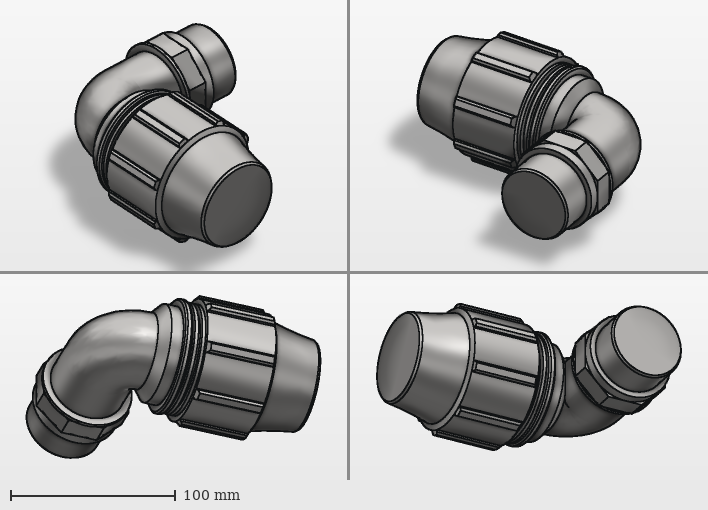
import cadquery as cq
import math


pipe_radius = 47.8 / 2
bend_radius = 19.1

male_end = 89.0
male_end_chamfer_length = 1.5
male_end_chamfer_depth = 1.0
collar_radius = 57.36 / 2
collar_start = 45.0
collar_thickness = 2.2
octagon_sides = 8
octagon_flats = 54.97
octagon_start = collar_start + collar_thickness
octagon_length = 13.0
band_length = 6.7

body_radius = 61.5 / 2
cone_start = 20.4
cone_end = 26.7
flange_radius = 71.34 / 2
flange_start = 34.3
flange_thickness = 4.5
flange_chamfer = 1.1
ring_radius = 69.2 / 2
ring_width = 2.3
first_ring_start = 40.4
second_ring_start = 45.1

nut_radius = 38.1
nut_start = 47.3
nut_shoulder = 91.4
tail_start = 93.2
tail_start_radius = ring_radius
tail_end = 124.0
tail_end_radius = 28.7
tail_sag = 0.6
tail_chamfer_length = 1.6
tail_chamfer_depth = 1.2

rib_count = 8
rib_pitch = 360 / rib_count
rib_base_width = 6.9
rib_top_width = 4.4
nut_overall_height = 77.16
half_pitch = math.radians(rib_pitch / 2)
rib_top_radius = (nut_overall_height / 2 - rib_top_width / 2 * math.sin(half_pitch)) / math.cos(half_pitch)
rib_root_radius = nut_radius - 1.0
rib_wall_radius = nut_radius + 1.1
rib_start_slope_length = 2.3
rib_end_slope_length = 1.0


def cylinder_x(start, end, radius):
    return cq.Workplane("YZ").workplane(offset=start).circle(radius).extrude(end - start)


def cylinder_y(start, end, radius):
    return cq.Workplane("XZ").workplane(offset=-start).circle(radius).extrude(start - end)


def make_bend():
    """Quarter bend whose profile is cut off at the bend axis, leaving a sharp inner corner."""
    chord_half = math.sqrt(pipe_radius**2 - bend_radius**2)
    return (
        cq.Workplane("XZ", origin=(0, bend_radius, 0))
        .moveTo(bend_radius, -chord_half)
        .threePointArc((-pipe_radius, 0), (bend_radius, chord_half))
        .close()
        .revolve(90, (bend_radius, 0, 0), (bend_radius, 1, 0))
    )


def make_male_arm():
    octagon_corner_diameter = octagon_flats / math.cos(math.pi / octagon_sides)
    octagon = (
        cq.Workplane("XZ", origin=(0, octagon_start, 0))
        .transformed(rotate=(0, 0, 180 / octagon_sides))
        .polygon(octagon_sides, octagon_corner_diameter)
        .extrude(-octagon_length)
    )
    pipe = (
        cylinder_y(bend_radius, male_end, pipe_radius)
        .faces(">Y")
        .chamfer(male_end_chamfer_length, male_end_chamfer_depth)
    )
    collar = cylinder_y(collar_start, octagon_start, collar_radius)
    band_start = octagon_start + octagon_length
    band = cylinder_y(band_start, band_start + band_length, octagon_flats / 2)
    return pipe.union(collar).union(octagon).union(band)


def make_body():
    """Pipe stub, cone and plain body, with a chamfered flange and two rings."""
    core = (
        cq.Workplane("XY")
        .moveTo(bend_radius, 0)
        .lineTo(bend_radius, pipe_radius)
        .lineTo(cone_start, pipe_radius)
        .lineTo(cone_end, body_radius)
        .lineTo(nut_start, body_radius)
        .lineTo(nut_start, 0)
        .close()
        .revolve(360, (0, 0, 0), (1, 0, 0))
    )
    flange_end = flange_start + flange_thickness
    flange = cylinder_x(flange_start, flange_end, flange_radius).edges().chamfer(flange_chamfer)
    first_ring = cylinder_x(first_ring_start, first_ring_start + ring_width, ring_radius)
    second_ring = cylinder_x(second_ring_start, nut_start, ring_radius)
    return core.union(flange).union(first_ring).union(second_ring)


def make_rib():
    """Rib along X on the +Z side with upright lower sides, inclined flanks and sloped ends."""
    section = (
        cq.Workplane("YZ", origin=(nut_start, 0, 0))
        .moveTo(-rib_base_width / 2, rib_root_radius)
        .lineTo(-rib_base_width / 2, rib_wall_radius)
        .lineTo(-rib_top_width / 2, rib_top_radius)
        .lineTo(rib_top_width / 2, rib_top_radius)
        .lineTo(rib_base_width / 2, rib_wall_radius)
        .lineTo(rib_base_width / 2, rib_root_radius)
        .close()
        .extrude(nut_shoulder - nut_start)
    )
    side_profile = (
        cq.Workplane("XZ")
        .moveTo(nut_start, rib_root_radius)
        .lineTo(nut_start, nut_radius)
        .lineTo(nut_start + rib_start_slope_length, rib_top_radius)
        .lineTo(nut_shoulder - rib_end_slope_length, rib_top_radius)
        .lineTo(nut_shoulder, nut_radius)
        .lineTo(nut_shoulder, rib_root_radius)
        .close()
        .extrude(rib_base_width, both=True)
    )
    return section.intersect(side_profile)


def make_nut():
    tail_edge = tail_end - tail_chamfer_length
    tail_middle = ((tail_start + tail_edge) / 2, (tail_start_radius + tail_end_radius) / 2 - tail_sag)
    nut = (
        cq.Workplane("XY")
        .moveTo(nut_start, 0)
        .lineTo(nut_start, nut_radius)
        .lineTo(nut_shoulder, nut_radius)
        .lineTo(tail_start, tail_start_radius)
        .threePointArc(tail_middle, (tail_edge, tail_end_radius))
        .lineTo(tail_end, tail_end_radius - tail_chamfer_depth)
        .lineTo(tail_end, 0)
        .close()
        .revolve(360, (0, 0, 0), (1, 0, 0))
    )
    rib = make_rib()
    for index in range(rib_count):
        angle = (index + 0.5) * rib_pitch
        nut = nut.union(rib.rotate((0, 0, 0), (1, 0, 0), angle))
    return nut


result = make_bend().union(make_male_arm()).union(make_body()).union(make_nut())